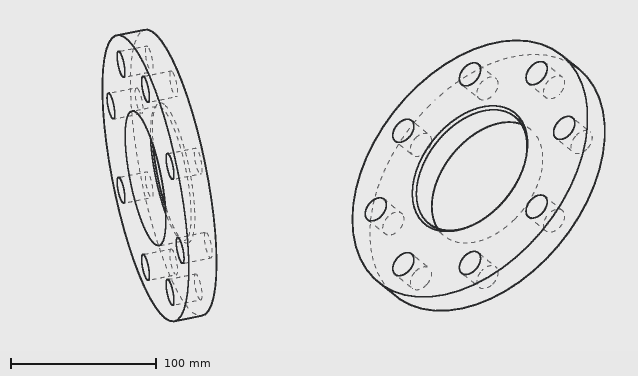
import cadquery as cq

outer_diameter = 200.0
thickness = 20.0
bore_diameter = 94.0
bore_chamfer = 2.0

bolt_circle_diameter = 160.0
bolt_hole_diameter = 18.0
bolt_hole_count = 8


def make_ring():
    """Disc with a chamfered central bore, from Y = 0 (back face) to Y = -thickness."""
    disc = cq.Workplane("XZ").circle(outer_diameter / 2).extrude(thickness)
    bore = cq.Workplane("XZ").circle(bore_diameter / 2).extrude(thickness)
    back_bore_edge = cq.selectors.RadiusNthSelector(0)
    return disc.cut(bore).faces(">Y").edges(back_bore_edge).chamfer(bore_chamfer)


def make_bolt_holes():
    """Cylinders that cut the bolt holes through the full thickness."""
    return (
        cq.Workplane("XZ")
        .polarArray(bolt_circle_diameter / 2, 0, 360, bolt_hole_count)
        .circle(bolt_hole_diameter / 2)
        .extrude(thickness)
    )


result = make_ring().cut(make_bolt_holes())